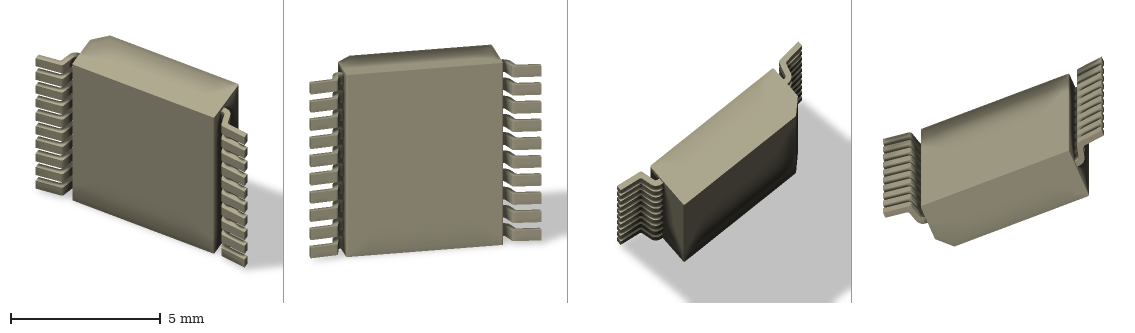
import cadquery as cq
import math

overall_width = 7.9
body_width = 5.37
body_depth = 1.785
body_height = 6.5
edge_radius = 0.05
marker_chamfer = 0.5

leads_per_side = 10
lead_pitch = body_height / leads_per_side
lead_width = 0.38
lead_thickness = 0.2
lead_center_depth = 0.6
standoff = 0.205
lead_reach = (overall_width - body_width) / 2
shoulder_run = 0.07
leg_angle = 75.0
foot_angle = 7.0
shoulder_inner_radius = 0.1
shoulder_outer_radius = shoulder_inner_radius + lead_thickness
heel_radius = 0.095


def make_body():
    """Block with one wide bevel and all its long edges rounded."""
    block = cq.Workplane("XY").box(body_width, body_depth, body_height)
    block = block.translate((0, body_depth / 2, 0))
    block = block.edges("|Z and <X and >Y").chamfer(marker_chamfer)
    return block.edges("|Z").fillet(edge_radius)


def mitre_offset(angle_before, angle_after):
    """Vector from a mid-line corner to the back-side corner of the strip.

    Angles are the downward slopes, in degrees, of the two stretches that meet.
    """
    half_turn = math.radians(angle_after - angle_before) / 2
    mean_slope = math.radians(angle_before + angle_after) / 2
    length = lead_thickness / 2 / math.cos(half_turn)
    return (length * math.sin(mean_slope), length * math.cos(mean_slope))


def lead_corners():
    """Mid-line corners of a lead with their half-thickness vectors, from body to toe.

    X is measured outward from the side of the body.
    """
    leg_slope = math.tan(math.radians(leg_angle))
    foot_slope = math.tan(math.radians(foot_angle))
    toe_half_height = lead_thickness / 2 / math.cos(math.radians(foot_angle))

    shoulder_mid_radius = shoulder_inner_radius + lead_thickness / 2
    shoulder_x = shoulder_run + shoulder_mid_radius * math.tan(math.radians(leg_angle) / 2)
    toe_y = toe_half_height - standoff

    foot_rise = (lead_reach - shoulder_x) * foot_slope
    leg_drop = (lead_center_depth - toe_y - foot_rise) / (1 - foot_slope / leg_slope)
    heel_x = shoulder_x + leg_drop / leg_slope

    return [
        ((0, lead_center_depth), (0, lead_thickness / 2)),
        ((shoulder_x, lead_center_depth), mitre_offset(0, leg_angle)),
        ((heel_x, lead_center_depth - leg_drop), mitre_offset(leg_angle, foot_angle)),
        ((lead_reach, toe_y), (0, toe_half_height)),
    ]


def make_lead():
    """One lead of the +X side, centred on Z = 0."""
    corners = lead_corners()
    back = [(x + dx, y + dy) for (x, y), (dx, dy) in corners]
    front = [(x - dx, y - dy) for (x, y), (dx, dy) in corners]
    lead = (
        cq.Workplane("XY")
        .polyline(back + front[::-1])
        .close()
        .extrude(lead_width / 2, both=True)
    )
    bends = [
        (back[1], shoulder_outer_radius),
        (front[1], shoulder_inner_radius),
        (back[2], heel_radius),
        (front[2], heel_radius),
    ]
    for (x, y), radius in bends:
        lead = lead.edges(cq.selectors.NearestToPointSelector((x, y, 0))).fillet(radius)
    return lead.translate((body_width / 2, 0, 0))


result = make_body()
right_lead = make_lead()
left_lead = right_lead.mirror("YZ")
for index in range(leads_per_side):
    lead_z = (index - (leads_per_side - 1) / 2) * lead_pitch
    result = result.union(right_lead.translate((0, 0, lead_z)))
    result = result.union(left_lead.translate((0, 0, lead_z)))